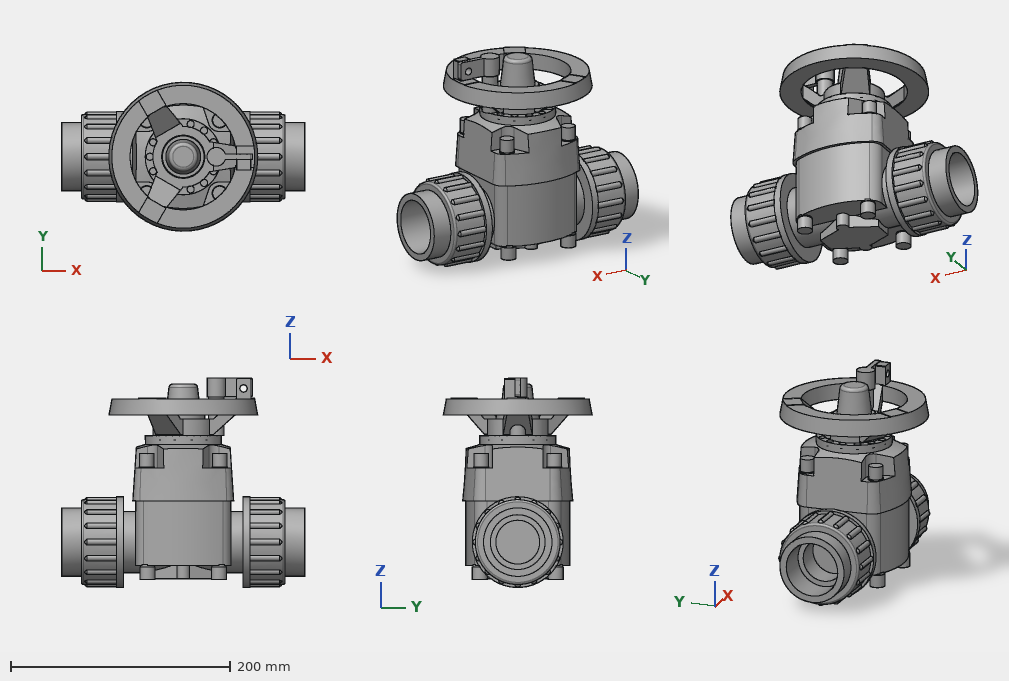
import math

import cadquery as cq


OVERALL_LENGTH = 222.0
PIPE_END_DIAMETER = 62.5
PIPE_NECK_DIAMETER = 56.1
SOCKET_DIAMETER = 50.0
SOCKET_DEPTH = 31.0
BORE_DIAMETER = 40.0

NUT_OUTER_X = 93.0
NUT_INNER_X = 54.5
NUT_DIAMETER = 77.47
NUT_EDGE_RADIUS = 2.0
NUT_COLLAR_DIAMETER = 83.0
NUT_COLLAR_WIDTH = 6.4
NUT_RIB_COUNT = 16
NUT_RIB_DIAMETER = 5.67
NUT_RIB_TOP_RADIUS = 40.9
NUT_RIB_END_X = 90.5
NUT_RIB_END_CHAMFER = 2.5

BODY_HALF_WIDTH = 43.4
BODY_HALF_DEPTH = 47.6
BODY_FACE_RADIUS = 84.0
BODY_CORNER_RADIUS = 12.3
BODY_BOTTOM_Z = -21.4
BODY_TOP_Z = 37.7

BONNET_OVERHANG = 2.7
BONNET_TAPER = 3.8
ROOF_PEAK_Z = 89.2
ROOF_SLOPE = 0.3
FLANGE_DIAMETER = 69.4
FLANGE_TOP_Z = 97.2

INDEX_HOLE_COUNT = 14
INDEX_HOLE_DIAMETER = 6.48
INDEX_CIRCLE_RADIUS = 30.5
INDEX_HOLE_DEPTH = 4.0

POCKET_X = 32.5
POCKET_Y = 32.8
POCKET_RADIUS = 9.7
POCKET_FLOOR_Z = 67.6
POCKET_WALL_ANGLE = 18.5

UPPER_BOLT_X = 33.3
UPPER_BOLT_Y = 33.3
LOWER_BOLT_X = 32.5
LOWER_BOLT_Y = 34.6
BOLT_HEAD_DIAMETER = 12.89
BOLT_WASHER_DIAMETER = 13.92
BOLT_STEP_HEIGHT = 1.1
UPPER_BOLT_HEIGHT = 13.1
LOWER_BOLT_DIAMETER = 13.92
LOWER_NECK_DIAMETER = 12.89
LOWER_BOLT_HEIGHT = 12.8

FOOT_BOTTOM_Z = -33.5
FOOT_BOSS_DIAMETER = 11.8
FOOT_BOSS_Y = 22.3
FOOT_HALF_LENGTH = 30.0
FOOT_END_HALF_DEPTH = 9.5
FOOT_MIDDLE_HALF_DEPTH = 23.0

HUB_RADIUS = 27.7
HUB_TOP_Z = 112.5
COLLAR_RADIUS = 19.7
COLLAR_HEIGHT = 5.0
COLLAR_CHAMFER = 0.7
RIM_BOTTOM_Z = 115.8
RIM_TOP_Z = 130.8
RIM_BOTTOM_RADIUS = 68.0
RIM_TOP_RADIUS = 65.2
RIM_INNER_RADIUS = 48.5
SPOKE_ANGLES = (0, 120, 240)
SPOKE_BOTTOM_Z = 98.4
SPOKE_UNDERSIDE_END_Z = 117.0
SPOKE_AXIS_HALF_WIDTH = 17.5
SPOKE_OUTER_HALF_WIDTH = 9.8
SPOKE_PAD_RISE = 0.6

SPINDLE_BASE_RADIUS = 15.9
SPINDLE_TOP_RADIUS = 12.8
SPINDLE_TOP_Z = 144.3
SPINDLE_FILLET = 3.6

LOCK_X = 30.2
LOCK_SHAFT_DIAMETER = 14.4
LOCK_HEAD_DIAMETER = 17.0
LOCK_HEAD_BOTTOM_Z = 132.6
LOCK_TOP_Z = 149.83
LOCK_ARM_END_X = 63.4
LOCK_ARM_THICKNESS = 4.9
LOCK_ARM_FILLET = 2.0
TAB_START_X = 48.5
TAB_END_X = 61.9
TAB_FRONT_Y = -12.2
TAB_TOP_Z = 149.1
TAB_CHAMFER = 0.7
TAB_HOLE_DIAMETER = 6.48
TAB_HOLE_X = 55.0
TAB_HOLE_Z = 140.2

OVERLAP = 1.0


def cylinder_z(radius, bottom, top, x=0.0, y=0.0):
    """Upright cylinder between two heights."""
    return cq.Workplane("XY", origin=(x, y, bottom)).circle(radius).extrude(top - bottom)


def cylinder_x(radius, start, end):
    """Cylinder on the pipe axis between two X positions."""
    return cq.Workplane("YZ", origin=(start, 0, 0)).circle(radius).extrude(end - start)


def box_between(x_range, y_range, z_range):
    """Box given by its limits along each axis."""
    size = [high - low for low, high in (x_range, y_range, z_range)]
    corner = (x_range[0], y_range[0], z_range[0])
    return cq.Workplane("XY").box(*size, centered=False).translate(corner)


def turned(profile):
    """Solid of revolution about the Z axis from (radius, height) points."""
    return cq.Workplane("XZ").polyline(profile).close().revolve(360, (0, 0), (0, 1))


def four_fold(shape):
    """Shape together with its mirror images in the XZ and YZ planes."""
    pair = shape.union(shape.mirror("XZ"))
    return pair.union(pair.mirror("YZ"))


def bulged_block(half_width, half_depth, bottom, height, taper):
    """Block with flat X sides, bulged Y sides and rounded upright corners."""
    sagitta = BODY_FACE_RADIUS - math.sqrt(BODY_FACE_RADIUS**2 - half_width**2)
    corner_y = half_depth - sagitta
    sketch = (
        cq.Sketch()
        .segment((half_width, -corner_y), (half_width, corner_y))
        .arc((half_width, corner_y), (0, half_depth), (-half_width, corner_y))
        .segment((-half_width, corner_y), (-half_width, -corner_y))
        .arc((-half_width, -corner_y), (0, -half_depth), (half_width, -corner_y))
        .assemble()
        .vertices()
        .fillet(BODY_CORNER_RADIUS)
    )
    return cq.Workplane("XY", origin=(0, 0, bottom)).placeSketch(sketch).extrude(height, taper=taper)


def union_nut():
    """Nut on the -X side, with its collar and grip ribs."""
    nut = cylinder_x(NUT_DIAMETER / 2, -NUT_OUTER_X, -NUT_INNER_X)
    nut = nut.faces("<X").edges().fillet(NUT_EDGE_RADIUS)
    collar_x = -NUT_INNER_X - NUT_COLLAR_WIDTH
    nut = nut.union(cylinder_x(NUT_COLLAR_DIAMETER / 2, collar_x, -NUT_INNER_X))
    rib = cylinder_x(NUT_RIB_DIAMETER / 2, -NUT_RIB_END_X, collar_x + OVERLAP)
    rib = rib.faces("<X").edges().chamfer(NUT_RIB_END_CHAMFER)
    rib = rib.translate((0, 0, NUT_RIB_TOP_RADIUS - NUT_RIB_DIAMETER / 2))
    for index in range(NUT_RIB_COUNT):
        nut = nut.union(rib.rotate((0, 0, 0), (1, 0, 0), index * 360 / NUT_RIB_COUNT))
    return nut


def pipe_line():
    """Pipe through the body with a nut and a stepped blind bore at each end."""
    end_x = OVERALL_LENGTH / 2
    side = cylinder_x(PIPE_END_DIAMETER / 2, -end_x, -NUT_INNER_X - OVERLAP)
    side = side.union(cylinder_x(PIPE_NECK_DIAMETER / 2, -NUT_INNER_X - OVERLAP, 0))
    side = side.union(union_nut())
    side = side.cut(cylinder_x(SOCKET_DIAMETER / 2, -end_x, SOCKET_DEPTH - end_x))
    side = side.cut(cylinder_x(BORE_DIAMETER / 2, -end_x, -NUT_INNER_X))
    return side.union(side.mirror("YZ"))


def bolt_pocket():
    """Corner recess: round behind the bolt, open towards +X and +Y."""
    reach = 2 * BODY_HALF_DEPTH
    angle = math.radians(POCKET_WALL_ANGLE)
    tangent_x = POCKET_X - POCKET_RADIUS * math.cos(angle)
    tangent_y = POCKET_Y - POCKET_RADIUS * math.sin(angle)
    middle = (math.pi / 2 + angle) / 2
    arc_middle = (
        POCKET_X - POCKET_RADIUS * math.cos(middle),
        POCKET_Y - POCKET_RADIUS * math.sin(middle),
    )
    return (
        cq.Workplane("XY", origin=(0, 0, POCKET_FLOOR_Z))
        .moveTo(reach, POCKET_Y - POCKET_RADIUS)
        .lineTo(POCKET_X, POCKET_Y - POCKET_RADIUS)
        .threePointArc(arc_middle, (tangent_x, tangent_y))
        .lineTo(tangent_x - (reach - tangent_y) * math.tan(angle), reach)
        .lineTo(reach, reach)
        .close()
        .extrude(ROOF_PEAK_Z - POCKET_FLOOR_Z)
    )


def bonnet():
    """Tapered bonnet under a conical roof, with the indexed flange on top."""
    shell = bulged_block(
        BODY_HALF_WIDTH + BONNET_OVERHANG,
        BODY_HALF_DEPTH + BONNET_OVERHANG,
        BODY_TOP_Z,
        ROOF_PEAK_Z - BODY_TOP_Z,
        BONNET_TAPER,
    )
    flange_radius = FLANGE_DIAMETER / 2
    reach = 2 * BODY_HALF_DEPTH
    eaves_z = ROOF_PEAK_Z - ROOF_SLOPE * (reach - flange_radius)
    above_roof = turned([
        (flange_radius, ROOF_PEAK_Z),
        (reach, ROOF_PEAK_Z),
        (reach, eaves_z),
    ])
    shell = shell.cut(above_roof).cut(four_fold(bolt_pocket()))
    flange = cylinder_z(flange_radius, ROOF_PEAK_Z - OVERLAP, FLANGE_TOP_Z)
    pitch = 360 / INDEX_HOLE_COUNT
    holes = (
        cq.Workplane("XY", origin=(0, 0, FLANGE_TOP_Z))
        .polarArray(INDEX_CIRCLE_RADIUS, pitch, 360 - 2 * pitch, INDEX_HOLE_COUNT - 1)
        .circle(INDEX_HOLE_DIAMETER / 2)
        .extrude(-INDEX_HOLE_DEPTH)
    )
    return shell.union(flange.cut(holes))


def bolts():
    """Bolt heads in the bonnet pockets and bolt ends below the body."""
    head_top = POCKET_FLOOR_Z + UPPER_BOLT_HEIGHT
    washer_top = POCKET_FLOOR_Z + BOLT_STEP_HEIGHT
    sunk = POCKET_FLOOR_Z - OVERLAP
    upper = cylinder_z(BOLT_HEAD_DIAMETER / 2, sunk, head_top, UPPER_BOLT_X, UPPER_BOLT_Y)
    washer = cylinder_z(BOLT_WASHER_DIAMETER / 2, sunk, washer_top, UPPER_BOLT_X, UPPER_BOLT_Y)
    neck_bottom = BODY_BOTTOM_Z - BOLT_STEP_HEIGHT
    lower_bottom = BODY_BOTTOM_Z - LOWER_BOLT_HEIGHT
    sunk_neck = BODY_BOTTOM_Z + OVERLAP
    neck = cylinder_z(LOWER_NECK_DIAMETER / 2, neck_bottom, sunk_neck, LOWER_BOLT_X, LOWER_BOLT_Y)
    lower = cylinder_z(LOWER_BOLT_DIAMETER / 2, lower_bottom, neck_bottom, LOWER_BOLT_X, LOWER_BOLT_Y)
    return four_fold(upper.union(washer).union(neck).union(lower))


def foot():
    """Diamond-shaped foot with a round boss at each Y point."""
    outline = [
        (FOOT_HALF_LENGTH, FOOT_END_HALF_DEPTH),
        (0, FOOT_MIDDLE_HALF_DEPTH),
        (-FOOT_HALF_LENGTH, FOOT_END_HALF_DEPTH),
        (-FOOT_HALF_LENGTH, -FOOT_END_HALF_DEPTH),
        (0, -FOOT_MIDDLE_HALF_DEPTH),
        (FOOT_HALF_LENGTH, -FOOT_END_HALF_DEPTH),
    ]
    top = BODY_BOTTOM_Z + OVERLAP
    plate = cq.Workplane("XY", origin=(0, 0, FOOT_BOTTOM_Z)).polyline(outline).close()
    plate = plate.extrude(top - FOOT_BOTTOM_Z)
    for side in (-1, 1):
        boss = cylinder_z(FOOT_BOSS_DIAMETER / 2, FOOT_BOTTOM_Z, top, 0, side * FOOT_BOSS_Y)
        plate = plate.union(boss)
    return plate


def spoke():
    """Spoke along +X: narrows and rises from the hub and ends as a pad across the rim."""
    pad_z = RIM_TOP_Z + SPOKE_PAD_RISE
    side_view = [
        (0, SPOKE_BOTTOM_Z),
        (HUB_RADIUS, SPOKE_BOTTOM_Z),
        (RIM_INNER_RADIUS, SPOKE_UNDERSIDE_END_Z),
        (RIM_TOP_RADIUS, SPOKE_UNDERSIDE_END_Z),
        (RIM_TOP_RADIUS, pad_z),
        (RIM_INNER_RADIUS, pad_z),
        (HUB_RADIUS, HUB_TOP_Z),
        (0, HUB_TOP_Z),
    ]
    plan = [
        (0, SPOKE_AXIS_HALF_WIDTH),
        (RIM_INNER_RADIUS, SPOKE_OUTER_HALF_WIDTH),
        (RIM_TOP_RADIUS, SPOKE_OUTER_HALF_WIDTH),
    ]
    plan += [(x, -y) for x, y in reversed(plan)]
    bent_bar = cq.Workplane("XZ").polyline(side_view).close()
    bent_bar = bent_bar.extrude(SPOKE_AXIS_HALF_WIDTH, both=True)
    footprint = cq.Workplane("XY", origin=(0, 0, SPOKE_BOTTOM_Z)).polyline(plan).close()
    footprint = footprint.extrude(pad_z - SPOKE_BOTTOM_Z)
    rounded_end = cylinder_z(RIM_TOP_RADIUS, SPOKE_BOTTOM_Z, pad_z)
    return bent_bar.intersect(footprint).intersect(rounded_end)


def hand_wheel():
    """Hub with collar, three spokes and a tapered rim."""
    rim = turned([
        (RIM_INNER_RADIUS, RIM_BOTTOM_Z),
        (RIM_BOTTOM_RADIUS, RIM_BOTTOM_Z),
        (RIM_TOP_RADIUS, RIM_TOP_Z),
        (RIM_INNER_RADIUS, RIM_TOP_Z),
    ])
    collar = cylinder_z(COLLAR_RADIUS, HUB_TOP_Z - OVERLAP, HUB_TOP_Z + COLLAR_HEIGHT)
    collar = collar.faces(">Z").edges().chamfer(COLLAR_CHAMFER)
    wheel = cylinder_z(HUB_RADIUS, FLANGE_TOP_Z, HUB_TOP_Z).union(collar).union(rim)
    for angle in SPOKE_ANGLES:
        wheel = wheel.union(spoke().rotate((0, 0, 0), (0, 0, 1), angle))
    return wheel


def spindle():
    """Tapered spindle cap with a rounded top."""
    base_z = HUB_TOP_Z + COLLAR_HEIGHT
    cap = turned([
        (0, base_z),
        (SPINDLE_BASE_RADIUS, base_z),
        (SPINDLE_TOP_RADIUS, SPINDLE_TOP_Z),
        (0, SPINDLE_TOP_Z),
    ])
    return cap.faces(">Z").edges().fillet(SPINDLE_FILLET)


def lock():
    """Lock pin standing on the flange, with its arm and drilled padlock tab."""
    half_arm = LOCK_ARM_THICKNESS / 2
    shaft = cylinder_z(LOCK_SHAFT_DIAMETER / 2, FLANGE_TOP_Z, LOCK_TOP_Z, LOCK_X)
    head = cylinder_z(LOCK_HEAD_DIAMETER / 2, LOCK_HEAD_BOTTOM_Z, LOCK_TOP_Z, LOCK_X)
    arm = box_between(
        (LOCK_X, LOCK_ARM_END_X), (-half_arm, half_arm), (LOCK_HEAD_BOTTOM_Z, LOCK_TOP_Z)
    )
    arm = arm.faces(">X").edges("|Y").fillet(LOCK_ARM_FILLET)
    tab = box_between((TAB_START_X, TAB_END_X), (TAB_FRONT_Y, 0), (RIM_TOP_Z, TAB_TOP_Z))
    tab = tab.edges("|Y and >Z").chamfer(TAB_CHAMFER)
    hole = (
        cq.Workplane("XZ", origin=(TAB_HOLE_X, 0, TAB_HOLE_Z))
        .circle(TAB_HOLE_DIAMETER / 2)
        .extrude(-2 * TAB_FRONT_Y, both=True)
    )
    return shaft.union(head).union(arm).union(tab).cut(hole)


body = bulged_block(BODY_HALF_WIDTH, BODY_HALF_DEPTH, BODY_BOTTOM_Z, BODY_TOP_Z - BODY_BOTTOM_Z, 0)
result = body.union(pipe_line())
for component in (bonnet(), bolts(), foot(), hand_wheel(), spindle(), lock()):
    result = result.union(component)